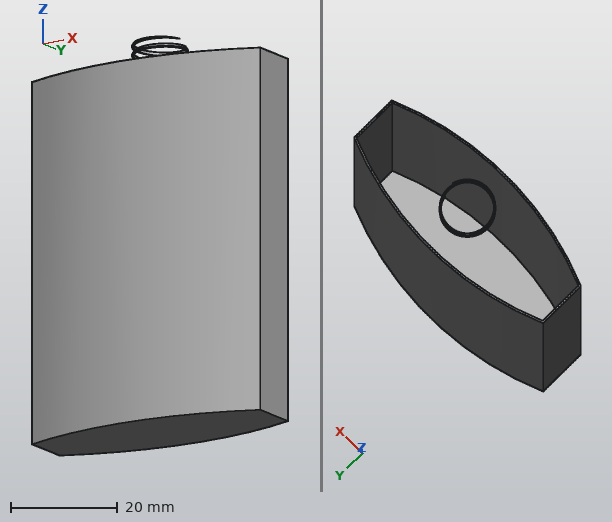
import cadquery as cq
import math

case_length = 50.0
case_width = 20.0
case_height = 70.0
end_width = case_width / 2
wall = case_width / 50

neck_radius = case_width / 4
neck_height = case_height / 10

root_radius = 0.99 * neck_radius
crest_radius = 1.05 * neck_radius
thread_pitch = neck_height / 4
root_height = neck_height / 10
crest_height = root_height / 4
thread_middle_angle = 2 * math.pi
thread_middle_z = case_height + neck_height / 2
half_thread_length = 2 * math.pi
helix_slope = math.atan2(thread_pitch, 2 * math.pi)
points_per_edge = 100


def make_case():
    half_case_length = case_length / 2
    half_case_width = case_width / 2
    half_end = end_width / 2
    outline = (
        cq.Workplane("XY")
        .moveTo(-half_case_length, half_end)
        .threePointArc((0, half_case_width), (half_case_length, half_end))
        .lineTo(half_case_length, -half_end)
        .threePointArc((0, -half_case_width), (-half_case_length, -half_end))
        .close()
    )
    return outline.extrude(case_height).faces(">Z").shell(-wall)


def thread_edge(radius, bulge):
    """Half ellipse wrapped on a cylinder: it follows the helix and rises above it by up to bulge."""

    def point(sweep):
        along = half_thread_length * math.cos(sweep)
        above = bulge * math.sin(sweep)
        angle = thread_middle_angle + along * math.cos(helix_slope) - above * math.sin(helix_slope)
        z = thread_middle_z + along * math.sin(helix_slope) + above * math.cos(helix_slope)
        return (radius * math.cos(angle), radius * math.sin(angle), z)

    return cq.Workplane("XY").parametricCurve(point, N=points_per_edge, stop=math.pi, makeWire=False).val()


def make_thread():
    """Ridge bounded by four ruled faces between its root and crest lines."""
    corner_lines = [
        thread_edge(root_radius, 0),
        thread_edge(crest_radius, 0),
        thread_edge(crest_radius, crest_height),
        thread_edge(root_radius, root_height),
    ]
    faces = []
    for index, line in enumerate(corner_lines):
        faces.append(cq.Face.makeRuledSurface(corner_lines[index - 1], line))
    shell = cq.Shell.makeShell(faces)
    return cq.Workplane(cq.Solid.makeSolid(shell))


case = make_case()
thread = make_thread()

result = cq.Compound.makeCompound([case.val(), thread.val()])